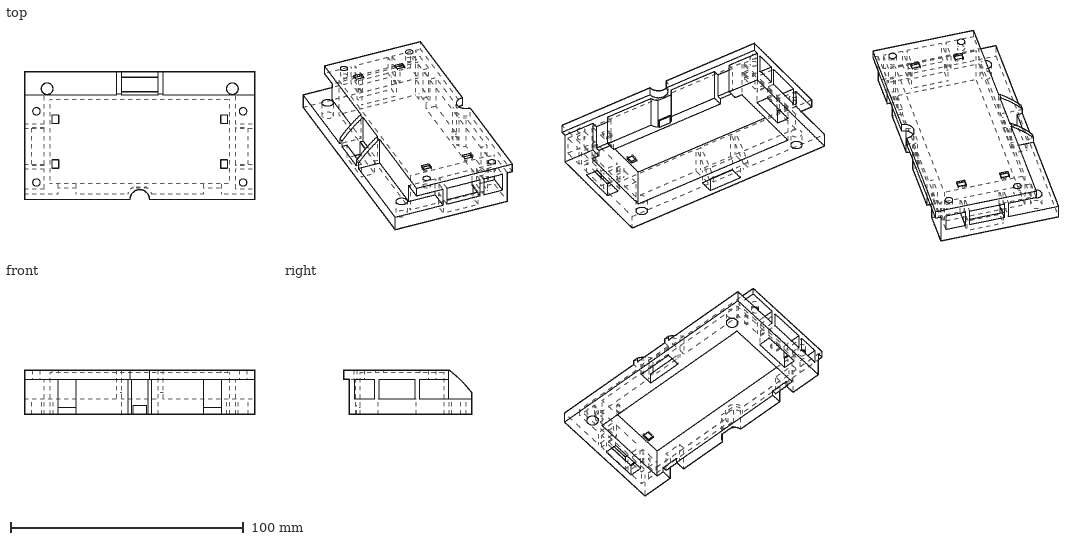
import cadquery as cq

LENGTH = 98.98
DEPTH = 55.0
HEIGHT = 19.0
HALF_LENGTH = LENGTH / 2

PLATE_DEPTH = 45.0
PLATE_THICKNESS = 4.0
BODY_HEIGHT = HEIGHT - PLATE_THICKNESS
BODY_FRONT = 2.36
SHELF_HEIGHT = 6.6

CAVITY_HALF_LENGTH = 38.5
CAVITY_FRONT = 7.0
CAVITY_BACK = 43.0
CAVITY_ROOF = 1.0

SIDE_POCKETS = [(4.67, 13.3), (15.2, 30.7), (32.6, PLATE_DEPTH)]
POCKET_DEPTH = 8.4
WELL_FRONT, WELL_BACK = SIDE_POCKETS[1]
WELL_SILL = 3.0
WELL_UNDERCUT = 0.4

RECESS_BACK = 5.05
SLOT_INNER = 27.45
SLOT_OUTER = 35.05
PASSAGE_HEIGHT = 3.0
GROOVE_RADIUS = 5.3
GROOVE_CENTER_Y = 1.03
NOTCH_RADIUS = 4.1
NOTCH_CENTER_Y = 0.2
WINDOW_WIDTH = 5.7
WINDOW_HEIGHT = 3.7
WINDOW_DEPTH = 0.5

PIN_DIAMETER = 3.2
PIN_X = 44.4
PIN_YS = [7.4, 38.0]
MOUNT_DIAMETER = 4.9
MOUNT_X = 39.8
MOUNT_Y = 47.7
LATCH_X = 36.3
LATCH_WIDTH = 2.8
LATCH_LENGTH = 3.6
LATCH_YS = [15.35, 34.6]

REAR_OPENING_FRONT = 46.4
REAR_OPENING_BACK = 52.6
RIB_INNER = 7.75
RIB_OUTER = 10.0
RIB_TOP_END = 45.4
RIB_BACK_HEIGHT = 9.4
RIB_BULGE = 0.3


def block(x_range, y_range, z_range):
    """Box spanning the given (low, high) ranges."""
    lows, highs = zip(x_range, y_range, z_range)
    sizes = [high - low for low, high in zip(lows, highs)]
    return cq.Workplane("XY").box(*sizes, centered=False).translate(lows)


def both_sides(shape):
    """The shape together with its mirror image across X = 0."""
    return shape.union(shape.mirror("YZ"))


def cylinder(x, y, diameter, bottom, top):
    """Vertical cylinder between two heights."""
    base = cq.Workplane("XY", origin=(x, y, bottom))
    return base.circle(diameter / 2).extrude(top - bottom)


def outer_form():
    """Shelf, body and overhanging cover plate."""
    full_length = (-HALF_LENGTH, HALF_LENGTH)
    shelf = block(full_length, (BODY_FRONT, DEPTH), (0, SHELF_HEIGHT))
    body = block(full_length, (BODY_FRONT, PLATE_DEPTH), (0, BODY_HEIGHT))
    plate = block(full_length, (0, PLATE_DEPTH), (BODY_HEIGHT, HEIGHT))
    return shelf.union(body).union(plate)


def ribs():
    """Two upright ribs on the shelf with a slightly bulged sloping edge."""
    middle = (
        (RIB_TOP_END + DEPTH) / 2 + RIB_BULGE,
        (HEIGHT + RIB_BACK_HEIGHT) / 2 + RIB_BULGE,
    )
    rib = (
        cq.Workplane("YZ", origin=(RIB_INNER, 0, 0))
        .moveTo(PLATE_DEPTH, SHELF_HEIGHT)
        .lineTo(PLATE_DEPTH, HEIGHT)
        .lineTo(RIB_TOP_END, HEIGHT)
        .threePointArc(middle, (DEPTH, RIB_BACK_HEIGHT))
        .lineTo(DEPTH, SHELF_HEIGHT)
        .close()
        .extrude(RIB_OUTER - RIB_INNER)
    )
    return both_sides(rib)


def main_cavity():
    """Large hollow leaving a thin skin of the cover plate as its roof."""
    return block(
        (-CAVITY_HALF_LENGTH, CAVITY_HALF_LENGTH),
        (CAVITY_FRONT, CAVITY_BACK),
        (0, HEIGHT - CAVITY_ROOF),
    )


def side_pockets():
    """Pockets above the shelf in each end, the middle one with a wider well behind a sill."""
    pocket_end = -HALF_LENGTH + POCKET_DEPTH
    well_start = -HALF_LENGTH + WELL_SILL
    well_y = (WELL_FRONT - WELL_UNDERCUT, WELL_BACK + WELL_UNDERCUT)
    pockets = block((well_start, pocket_end), well_y, (0, SHELF_HEIGHT))
    for y_range in SIDE_POCKETS:
        pocket = block((-HALF_LENGTH, pocket_end), y_range, (SHELF_HEIGHT, BODY_HEIGHT))
        pockets = pockets.union(pocket)
    return both_sides(pockets)


def front_slots():
    """Full-height slots in the front wall, each with a low passage into the cavity."""
    slot_x = (SLOT_INNER, SLOT_OUTER)
    slot = block(slot_x, (BODY_FRONT, RECESS_BACK), (0, BODY_HEIGHT))
    passage = block(slot_x, (RECESS_BACK, CAVITY_FRONT), (0, PASSAGE_HEIGHT))
    return both_sides(slot.union(passage))


def front_groove():
    """Round groove with a flat back, the round plate notch above it and a low window."""
    half_window = WINDOW_WIDTH / 2
    groove = cylinder(0, GROOVE_CENTER_Y, 2 * GROOVE_RADIUS, 0, BODY_HEIGHT)
    flat_limit = block((-GROOVE_RADIUS, GROOVE_RADIUS), (0, RECESS_BACK), (0, BODY_HEIGHT))
    notch = cylinder(0, NOTCH_CENTER_Y, 2 * NOTCH_RADIUS, BODY_HEIGHT, HEIGHT)
    window = block(
        (-half_window, half_window),
        (RECESS_BACK, RECESS_BACK + WINDOW_DEPTH),
        (0, WINDOW_HEIGHT),
    )
    return groove.intersect(flat_limit).union(notch).union(window)


def holes():
    """Pin holes and latch holes through the plate, mounting holes through the shelf."""
    drilled = cylinder(MOUNT_X, MOUNT_Y, MOUNT_DIAMETER, 0, SHELF_HEIGHT)
    for pin_y in PIN_YS:
        drilled = drilled.union(cylinder(PIN_X, pin_y, PIN_DIAMETER, BODY_HEIGHT, HEIGHT))
    for latch_y in LATCH_YS:
        latch = block(
            (LATCH_X - LATCH_WIDTH / 2, LATCH_X + LATCH_WIDTH / 2),
            (latch_y - LATCH_LENGTH / 2, latch_y + LATCH_LENGTH / 2),
            (BODY_HEIGHT, HEIGHT),
        )
        drilled = drilled.union(latch)
    return both_sides(drilled)


def rear_opening():
    """Rectangular opening through the shelf between the ribs."""
    return block(
        (-RIB_INNER, RIB_INNER),
        (REAR_OPENING_FRONT, REAR_OPENING_BACK),
        (0, SHELF_HEIGHT),
    )


result = outer_form().union(ribs())
for cut in (main_cavity(), side_pockets(), front_slots(), front_groove(), holes(), rear_opening()):
    result = result.cut(cut)